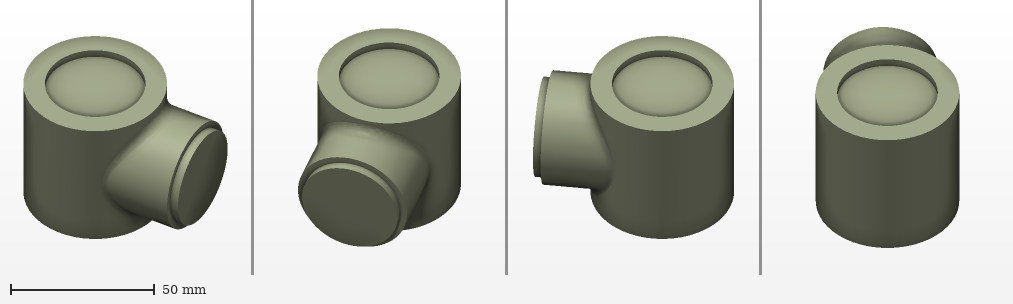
import cadquery as cq

overall_length = 68.0
body_diameter = 50.0
body_height = body_diameter
branch_diameter = 40.0
joint_diameter = 35.0
joint_depth = 3.0
blend_radius = 3.0

body_radius = body_diameter / 2
spigot_end = overall_length - body_radius
shoulder = spigot_end - joint_depth


def branch_cylinder(diameter, length):
    """Cylinder along +X, starting on the body axis at mid-height."""
    return cq.Workplane("YZ").circle(diameter / 2).extrude(length)


def body_with_branch():
    """Upright cylinder and side branch, blended where they meet."""
    body = cq.Workplane("XY").circle(body_radius).extrude(body_height / 2, both=True)
    tee = body.union(branch_cylinder(branch_diameter, shoulder))
    junction_zone = cq.selectors.BoxSelector(
        (0, -body_radius, -branch_diameter / 4),
        (body_radius, body_radius, branch_diameter / 4),
        boundingbox=False,
    )
    junction = tee.edges(junction_zone).edges("not %LINE")
    return junction.fillet(blend_radius)


def recess():
    """Shallow round socket in the top face."""
    floor_height = body_height / 2 - joint_depth
    return cq.Workplane("XY").workplane(offset=floor_height).circle(joint_diameter / 2).extrude(joint_depth)


spigot = branch_cylinder(joint_diameter, spigot_end)
result = body_with_branch().union(spigot).cut(recess())